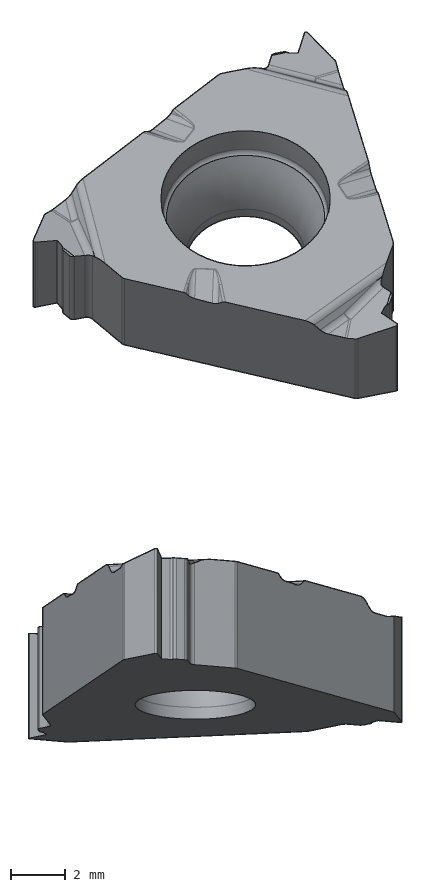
import cadquery as cq
import math

CORNERS = 3
CORNER_STEP = 360 / CORNERS
thickness = 4.01

inscribed_radius = 4.76
side = (-60, inscribed_radius)
leading_edge = (-30, 6.92)
tooth_flank = (90, 0.07)
land = (20, 6.68)
crest_ramp = (-13, 6.7)
crest = (30, 6.34)
crest_flank = (90, 0.95)
relief = (30, 5.76)
next_side = (60, inscribed_radius)
corner_walls = [side, leading_edge, tooth_flank, land, crest_ramp, crest, crest_flank, relief, next_side]

shoulder_radius = 0.21
tip_radius = 0.07
crest_radius = 0.2
root_radius = 0.28
ramp_radius = 0.14

bore_radius = 4.4 / 2
counterbore_radius = 3.09
counterbore_floor_radius = 3.02
counterbore_depth = 1.02
bell_mouth_radius = 2.89
bell_mouth_depth = 1.23
bell_radius = 4.29

groove_tilt = 2.0
groove_edge = 5.8
groove_depth = 0.48
groove_wall_slope = 50.0
groove_brow_radius = 0.39
groove_floor_radius = 0.35
rake_tip_depth = 0.05
rake_slope = 0.23
rake_direction = 37.0

bevel_width = 0.08
bevel_drop = 0.04

notch_depth = 0.24
notch_floor_width = 0.91
notch_side_slope = 42.0
notch_floor_radius = 0.35
notch_rim_radius = 0.14
notch_turn = 14.0
notch_reach = 1.25
notch_inner_end = (notch_reach - inscribed_radius, 0.53)
notch_length = notch_reach / math.cos(math.radians(notch_turn))

overrun = 4.15
pick_margin = 0.01


def meet(wall_a, wall_b):
    """Point where two straight walls cross."""
    angle_a, angle_b = math.radians(wall_a[0]), math.radians(wall_b[0])
    turn = math.sin(angle_b - angle_a)
    x = (wall_a[1] * math.sin(angle_b) - wall_b[1] * math.sin(angle_a)) / turn
    y = (wall_b[1] * math.cos(angle_a) - wall_a[1] * math.cos(angle_b)) / turn
    return x, y


def turned(point, corner):
    """Point of the +X corner moved to another corner."""
    angle = math.radians(corner * CORNER_STEP)
    x, y = point
    return x * math.cos(angle) - y * math.sin(angle), x * math.sin(angle) + y * math.cos(angle)


def make_blank():
    corner_points = [meet(a, b) for a, b in zip(corner_walls, corner_walls[1:])]
    outline = [turned(p, corner) for corner in range(CORNERS) for p in corner_points]
    blank = cq.Workplane("XY").polyline(outline).close().extrude(thickness)
    rounded_edges = [
        (meet(side, leading_edge), shoulder_radius),
        (meet(leading_edge, tooth_flank), tip_radius),
        (meet(land, crest_ramp), ramp_radius),
        (meet(crest_ramp, crest), ramp_radius),
        (meet(crest, crest_flank), crest_radius),
        (meet(crest_flank, relief), root_radius),
        (meet(relief, next_side), shoulder_radius),
    ]
    for corner in range(CORNERS):
        for point, radius in rounded_edges:
            x, y = turned(point, corner)
            nearest = cq.selectors.NearestToPointSelector((x, y, thickness / 2))
            blank = blank.edges("|Z").edges(nearest).fillet(radius)
    return blank


def make_hole():
    center_radius = bore_radius + bell_radius
    mouth_angle = math.acos((center_radius - bell_mouth_radius) / bell_radius)
    bell_end = thickness - bell_mouth_depth - bell_radius * math.sin(mouth_angle)
    middle = (
        center_radius - bell_radius * math.cos(mouth_angle / 2),
        bell_end + bell_radius * math.sin(mouth_angle / 2),
    )
    return (
        cq.Workplane("XZ")
        .moveTo(0, thickness)
        .lineTo(counterbore_radius, thickness)
        .lineTo(counterbore_floor_radius, thickness - counterbore_depth)
        .tangentArcPoint((bell_mouth_radius, thickness - bell_mouth_depth), relative=False)
        .threePointArc(middle, (bore_radius, bell_end))
        .lineTo(bore_radius, 0)
        .lineTo(0, 0)
        .close()
        .revolve(360, (0, 0), (0, 1))
    )


def make_rake_block():
    """Half space below the rake face, which climbs towards the cutting tip."""
    tip_x, tip_y = meet(leading_edge, tooth_flank)
    rake_angle = math.degrees(math.atan(rake_slope))
    size = 4 * overrun
    return (
        cq.Workplane("XY")
        .box(size, size, size, centered=(True, True, False))
        .translate((0, 0, -size))
        .rotate((0, 0, 0), (0, 1, 0), -rake_angle)
        .rotate((0, 0, 0), (0, 0, 1), rake_direction)
        .translate((tip_x, tip_y, thickness - rake_tip_depth))
    )


def across_corner(profile):
    """Closed radial profile swept straight across the +X corner along the groove."""
    return profile.extrude(overrun, both=True).rotate((0, 0, 0), (0, 0, 1), -groove_tilt)


def make_groove():
    run_per_depth = 1 / math.tan(math.radians(groove_wall_slope))
    floor_z = thickness - groove_depth
    top_z = thickness + groove_depth
    wall_foot = groove_edge + groove_depth * run_per_depth
    wall_top = groove_edge - groove_depth * run_per_depth
    outer = wall_foot + overrun
    profile = (
        cq.Workplane("XZ")
        .polyline([(wall_top, top_z), (wall_foot, floor_z), (outer, floor_z), (outer, top_z)])
        .close()
    )
    groove = across_corner(profile).cut(make_rake_block())
    low_point = groove.vertices(cq.selectors.NearestToPointSelector((wall_foot, 0, floor_z)))
    meeting_edges = low_point.ancestors("Edge")
    return groove.newObject(meeting_edges.vals()).fillet(groove_floor_radius)


def make_groove_brow():
    """Sliver that rounds the top edge of the groove wall over into the top face."""
    slope = math.radians(groove_wall_slope)
    tangent_length = groove_brow_radius * math.tan(slope / 2)
    start = groove_edge - tangent_length
    middle = (
        start + groove_brow_radius * math.sin(slope / 2),
        thickness - groove_brow_radius * (1 - math.cos(slope / 2)),
    )
    end_x = groove_edge + tangent_length * math.cos(slope)
    end_z = thickness - tangent_length * math.sin(slope)
    profile = (
        cq.Workplane("XZ")
        .moveTo(start, thickness)
        .threePointArc(middle, (end_x, end_z))
        .lineTo(end_x, thickness)
        .close()
    )
    return across_corner(profile)


def make_crest_bevel():
    """Cutter that slopes from the rake face down to the crest wall."""
    start_x, start_y = meet(crest_ramp, crest)
    end_x, end_y = meet(crest, crest_flank)
    middle_x, middle_y = (start_x + end_x) / 2, (start_y + end_y) / 2
    tip_x, tip_y = meet(leading_edge, tooth_flank)
    uphill = math.radians(rake_direction)
    outward = math.radians(crest[0])
    climb = (middle_x - tip_x) * math.cos(uphill) + (middle_y - tip_y) * math.sin(uphill)
    rake_z = thickness - rake_tip_depth + rake_slope * climb
    rake_fall = bevel_width * rake_slope * math.cos(uphill - outward)
    across_crest = cq.Plane(
        origin=(middle_x, middle_y, rake_z),
        xDir=(math.cos(outward), math.sin(outward), 0),
        normal=(math.sin(outward), -math.cos(outward), 0),
    )
    half_length = math.hypot(end_x - start_x, end_y - start_y) / 2 + bevel_width
    inner_z = -rake_fall
    outer_z = rake_fall - 2 * bevel_drop
    return (
        cq.Workplane(across_crest)
        .polyline(
            [
                (-bevel_width, inner_z),
                (bevel_width, outer_z),
                (bevel_width, bevel_width),
                (-bevel_width, bevel_width),
            ]
        )
        .close()
        .extrude(half_length, both=True)
    )


def make_notch():
    """Wedge whose floor climbs from the side to nothing at its inner end."""
    slope = math.atan(notch_depth / notch_length)
    top_rise = 2 * notch_depth
    half_floor = notch_floor_width / 2
    half_top = half_floor + top_rise / math.tan(math.radians(notch_side_slope))
    return (
        cq.Workplane("YZ")
        .polyline([(-half_floor, 0), (half_floor, 0), (half_top, top_rise), (-half_top, top_rise)])
        .close()
        .extrude(-overrun)
        .edges("|X and <Z")
        .fillet(notch_floor_radius)
        .rotate((0, 0, 0), (0, 1, 0), -math.degrees(slope))
        .rotate((0, 0, 0), (0, 0, 1), notch_turn)
        .translate((notch_inner_end[0], notch_inner_end[1], thickness))
    )


def round_notch_rim(body, corner):
    """Round the edges where one notch breaks through the top face."""
    inner_x, inner_y = notch_inner_end
    reach = notch_floor_width
    rim_zone = cq.selectors.BoxSelector(
        (pick_margin - inscribed_radius, inner_y - reach, thickness - pick_margin),
        (inner_x + pick_margin, inner_y + reach, thickness + pick_margin),
    )
    turn_back = corner * CORNER_STEP
    upright = body.rotate((0, 0, 0), (0, 0, 1), -turn_back)
    rounded = upright.edges(rim_zone).fillet(notch_rim_radius)
    return rounded.rotate((0, 0, 0), (0, 0, 1), turn_back)


result = make_blank().cut(make_hole())
cutters = [make_groove(), make_groove_brow(), make_crest_bevel(), make_notch()]
for cutter in cutters:
    for corner in range(CORNERS):
        result = result.cut(cutter.rotate((0, 0, 0), (0, 0, 1), corner * CORNER_STEP))
for corner in range(CORNERS):
    result = round_notch_rim(result, corner)